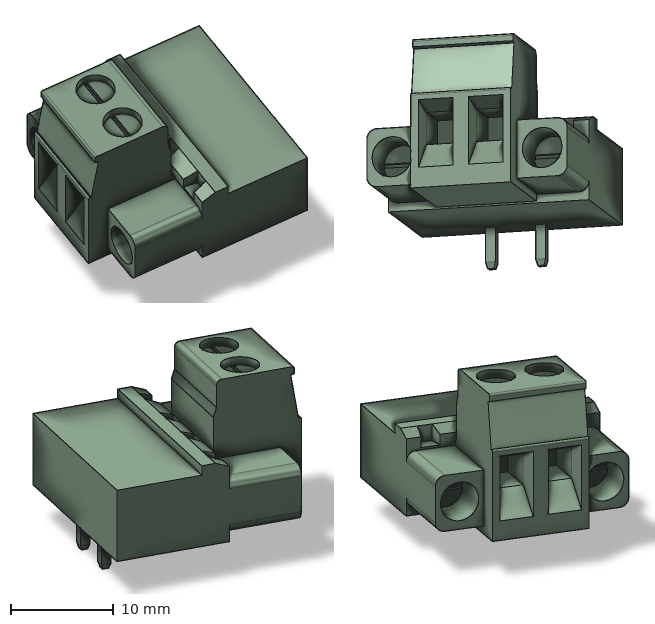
import cadquery as cq


pitch = 5.08
contact_count = 2
position_count = contact_count + 2
block_width = position_count * pitch
plug_width = contact_count * pitch
contact_xs = [(i - (contact_count - 1) / 2) * pitch for i in range(contact_count)]
position_xs = [(i - (position_count - 1) / 2) * pitch for i in range(position_count)]
flange_xs = [position_xs[0], position_xs[-1]]

header_depth = 12.0
header_height = 7.6
ridge_depth = 2.97
ridge_height = 8.6
ridge_slope_depth = 1.5
ridge_front_height = 8.0
notch_floor = 6.9
notch_front_width = 2.0
notch_back_width = 1.53

pin_size = 1.0
pin_tip_size = 0.65
pin_length = 4.05
pin_tip_length = 0.6
pin_y = 10.0

plug_front = -9.9
plug_back = -0.83
plug_height = 15.0
shoulder_back = -0.5
shoulder_base_height = 7.5
shoulder_height = 11.1
shoulder_slope_top = 12.1
mating_top = 6.9
top_back_radius = 0.6
lip_front = -9.13
lip_bottom = 14.25
lip_radius = 0.2
neck_front = -8.77
neck_height = 14.1
ledge_height = 9.47
ledge_root_height = 9.43
ledge_depth = 0.33
ledge_radius = 0.2

flange_bottom = 0.85
flange_height = 5.8
flange_length = 7.64
flange_radius = 1.0
flange_bore_diameter = 4.0
flange_screw_diameter = 3.9
flange_screw_recess = 4.0
flange_screw_z = flange_bottom + flange_height / 2

well_diameter = 3.8
well_depth = 0.9
well_y = -4.46
driver_slot_width = 0.4
driver_slot_depth = 0.4

funnel_depth = 2.0
wire_passage_depth = 4.0
entry_front_width = 3.5
entry_front_bottom = 2.03
entry_front_top = 8.77
entry_back_width = 3.0
entry_back_bottom = 4.68
entry_back_top = 7.9


def block(x_range, y_range, z_range):
    """Box spanning the given (low, high) ranges."""
    spans = [high - low for low, high in (x_range, y_range, z_range)]
    corner = (x_range[0], y_range[0], z_range[0])
    return cq.Workplane("XY").box(*spans, centered=False).translate(corner)


def centred(middle, size):
    """Range of the given size about its middle."""
    return (middle - size / 2, middle + size / 2)


def extrude_along_x(profile, width):
    """Solid of a YZ profile, extruded symmetrically about X = 0."""
    return profile.close().extrude(width / 2, both=True)


def make_notch(x):
    """Wedge that narrows towards the back, open to the front and top of the ridge."""
    front_half = notch_front_width / 2
    back_half = notch_back_width / 2
    return (
        cq.Workplane("XY", origin=(x, 0, notch_floor))
        .moveTo(-front_half, 0)
        .lineTo(front_half, 0)
        .lineTo(back_half, ridge_slope_depth)
        .lineTo(-back_half, ridge_slope_depth)
        .close()
        .extrude(ridge_height - notch_floor)
    )


def make_header():
    """Header housing with a raised, notched ridge along its front edge."""
    profile = (
        cq.Workplane("YZ")
        .moveTo(0, 0)
        .lineTo(header_depth, 0)
        .lineTo(header_depth, header_height)
        .lineTo(ridge_depth, header_height)
        .lineTo(ridge_depth, ridge_height)
        .lineTo(ridge_slope_depth, ridge_height)
        .lineTo(0, ridge_front_height)
    )
    header = extrude_along_x(profile, block_width)
    for x in position_xs:
        header = header.cut(make_notch(x))
    return header


def make_pin(x):
    """Square solder pin with a tapered tip."""
    shank_bottom = pin_tip_length - pin_length
    shank = block(centred(x, pin_size), centred(pin_y, pin_size), (shank_bottom, 0))
    tip = (
        cq.Workplane("XY", origin=(x, pin_y, shank_bottom))
        .rect(pin_size, pin_size)
        .workplane(offset=-pin_tip_length)
        .rect(pin_tip_size, pin_tip_size)
        .loft(ruled=True)
    )
    return shank.union(tip)


def make_plug_body():
    """Plug body with a lipped, tapering upper front and a stepped back."""
    profile = (
        cq.Workplane("YZ")
        .moveTo(plug_front, 0)
        .lineTo(plug_back, 0)
        .lineTo(plug_back, flange_bottom)
        .lineTo(0, flange_bottom)
        .lineTo(0, mating_top)
        .lineTo(shoulder_back, shoulder_base_height)
        .lineTo(shoulder_back, shoulder_height)
        .lineTo(plug_back, shoulder_slope_top)
        .lineTo(plug_back, plug_height - top_back_radius)
        .radiusArc((plug_back - top_back_radius, plug_height), -top_back_radius)
        .lineTo(lip_front + lip_radius, plug_height)
        .radiusArc((lip_front, plug_height - lip_radius), -lip_radius)
        .lineTo(lip_front, lip_bottom)
        .lineTo(neck_front, neck_height)
        .lineTo(plug_front + ledge_depth, ledge_root_height)
        .lineTo(plug_front + ledge_radius, ledge_height)
        .radiusArc((plug_front, ledge_height - ledge_radius), -ledge_radius)
    )
    return extrude_along_x(profile, plug_width)


def make_flanges():
    """Both screw flanges as one bar, rounded along its outer edges."""
    z_range = (flange_bottom, flange_bottom + flange_height)
    bar = block(centred(0, block_width), (-flange_length, 0), z_range)
    return bar.edges("|Y").fillet(flange_radius)


def make_flange_bore(x):
    """Bore through a flange, reaching the header face."""
    plane = cq.Workplane("XZ", origin=(x, 0, flange_screw_z))
    return plane.circle(flange_bore_diameter / 2).extrude(flange_length)


def make_flange_screw(x):
    """Slotted screw inside a flange bore, standing on the header face."""
    head_y = flange_screw_recess - flange_length
    plane = cq.Workplane("XZ", origin=(x, 0, flange_screw_z))
    screw = plane.circle(flange_screw_diameter / 2).extrude(-head_y)
    driver_slot = block(
        centred(x, flange_screw_diameter),
        (head_y, head_y + driver_slot_depth),
        centred(flange_screw_z, driver_slot_width),
    )
    return screw.cut(driver_slot)


def make_screw_well(x):
    """Round well in the plug top with a driver slot sunk across its floor."""
    floor_z = plug_height - well_depth
    plane = cq.Workplane("XY", origin=(x, well_y, floor_z))
    well = plane.circle(well_diameter / 2).extrude(well_depth)
    slot_bar = block(
        centred(x, well_diameter),
        centred(well_y, driver_slot_width),
        (floor_z - driver_slot_depth, floor_z),
    )
    slot_limit = plane.circle(well_diameter / 2).extrude(-driver_slot_depth)
    return well.union(slot_bar.intersect(slot_limit))


def make_wire_entry(x):
    """Rectangular funnel in the plug front, leading into a straight blind passage."""
    front_middle = (entry_front_bottom + entry_front_top) / 2
    back_middle = (entry_back_bottom + entry_back_top) / 2
    funnel = (
        cq.Workplane("XZ", origin=(x, plug_front, front_middle))
        .rect(entry_front_width, entry_front_top - entry_front_bottom)
        .workplane(offset=-funnel_depth)
        .center(0, back_middle - front_middle)
        .rect(entry_back_width, entry_back_top - entry_back_bottom)
        .loft(ruled=True)
    )
    passage_front = plug_front + funnel_depth
    passage = block(
        centred(x, entry_back_width),
        (passage_front, passage_front + wire_passage_depth),
        (entry_back_bottom, entry_back_top),
    )
    return funnel.union(passage)


plug = make_plug_body().union(make_flanges())
for flange_x in flange_xs:
    plug = plug.cut(make_flange_bore(flange_x))
for contact_x in contact_xs:
    plug = plug.cut(make_screw_well(contact_x))
    plug = plug.cut(make_wire_entry(contact_x))

result = make_header().union(plug)
for flange_x in flange_xs:
    result = result.union(make_flange_screw(flange_x))
for contact_x in contact_xs:
    result = result.union(make_pin(contact_x))